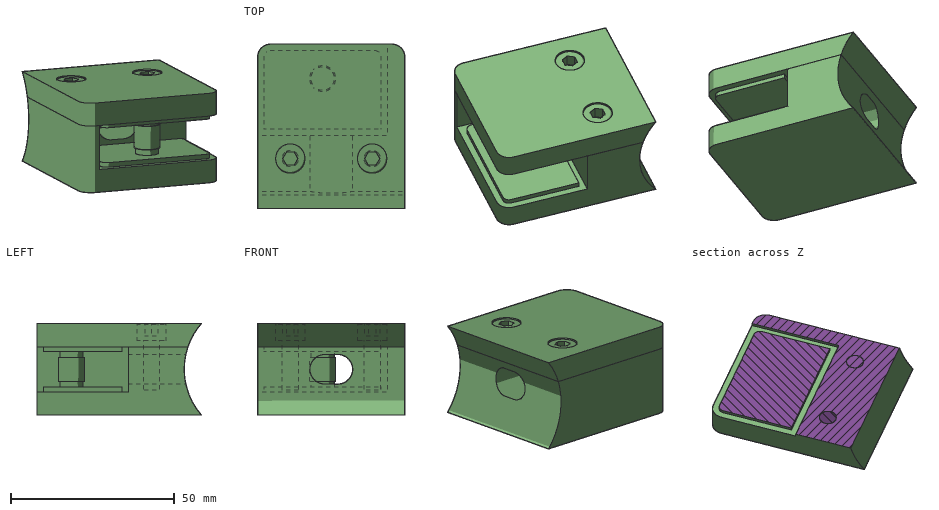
import cadquery as cq
import math

WIDTH = 45.0
LENGTH = 50.3
HEIGHT = 28.0
JAW_THICKNESS = 7.15
CORNER_RADIUS = 4.0
BLOCK_LENGTH = 22.25
SIDE_WALL = 5.3

SADDLE_RADIUS = 21.2

SLOT_LENGTH = 13.0
SLOT_HEIGHT = 9.0

PAD_THICKNESS = 1.4
PAD_MARGIN = 2.0
PAD_RADIUS = 2.0

PIN_DIAMETER = 7.9
PIN_END_DIAMETER = 7.15
PIN_BODY_HEIGHT = 7.35
PIN_Y = 14.6

SCREW_SPACING = 25.0
SCREW_Y = -9.85
HEAD_DIAMETER = 8.95
HEAD_HEIGHT = 5.0
HEAD_ROUNDING = 0.5
HEAD_RECESS = 0.25
SHANK_DIAMETER = 5.0
SHANK_LENGTH = 15.1
HEX_ACROSS_FLATS = 4.0
HEX_DEPTH = 3.5

Y_BACK = -LENGTH / 2
Y_FRONT = LENGTH / 2
Y_GAP_BACK = Y_BACK + BLOCK_LENGTH
X_LEFT = -WIDTH / 2
X_RIGHT = WIDTH / 2
X_WALL = X_RIGHT - SIDE_WALL
X_GAP_CENTER = (X_LEFT + X_WALL) / 2
Z_TOP = HEIGHT / 2
Z_GAP_TOP = Z_TOP - JAW_THICKNESS
Z_GAP_BOTTOM = -Z_GAP_TOP
Z_HEAD_TOP = Z_TOP - HEAD_RECESS
SCREW_POINTS = [(-SCREW_SPACING / 2, SCREW_Y), (SCREW_SPACING / 2, SCREW_Y)]


def box_between(x_min, x_max, y_min, y_max, z_min, z_max):
    """Box defined by its limits along each axis."""
    box = cq.Workplane("XY").box(x_max - x_min, y_max - y_min, z_max - z_min, centered=False)
    return box.translate((x_min, y_min, z_min))


def jaw_plate(z_min, z_max):
    """Full-width plate with its two +Y corners rounded."""
    plate = box_between(X_LEFT, X_RIGHT, Y_BACK, Y_FRONT, z_min, z_max)
    return plate.edges("|Z and >Y").fillet(CORNER_RADIUS)


def saddle_cutter():
    """Cylinder along X whose surface meets the top and bottom -Y edges."""
    axis_offset = math.sqrt(SADDLE_RADIUS**2 - Z_TOP**2)
    cylinder = cq.Workplane("YZ").circle(SADDLE_RADIUS).extrude(WIDTH / 2, both=True)
    return cylinder.translate((0, Y_BACK - axis_offset, 0))


def screw_blank():
    """Plain outline of a cap screw on the Z axis, used for the screw and for its hole."""
    z_head_bottom = Z_HEAD_TOP - HEAD_HEIGHT
    head = cq.Workplane("XY", origin=(0, 0, z_head_bottom)).circle(HEAD_DIAMETER / 2).extrude(HEAD_HEIGHT)
    shank = cq.Workplane("XY", origin=(0, 0, z_head_bottom)).circle(SHANK_DIAMETER / 2).extrude(-SHANK_LENGTH)
    return head.union(shank)


def screw_holes():
    """Shank holes and counterbores for both screws, open at the top face."""
    recess = cq.Workplane("XY", origin=(0, 0, Z_HEAD_TOP)).circle(HEAD_DIAMETER / 2).extrude(HEAD_RECESS)
    hole = screw_blank().union(recess)
    left, right = [hole.translate((x, y, 0)) for x, y in SCREW_POINTS]
    return left.union(right)


def make_base():
    """Lower jaw, block and +X side wall in one piece."""
    blank = jaw_plate(-Z_TOP, Z_GAP_TOP)
    glass_gap = box_between(X_LEFT, X_WALL, Y_GAP_BACK, Y_FRONT, Z_GAP_BOTTOM, Z_GAP_TOP)
    slot = cq.Workplane("XZ").slot2D(SLOT_LENGTH, SLOT_HEIGHT).extrude(-Y_BACK)
    return blank.cut(glass_gap).cut(saddle_cutter()).cut(slot).cut(screw_holes())


def make_cover():
    """Upper jaw, screwed down on the base."""
    return jaw_plate(Z_GAP_TOP, Z_TOP).cut(saddle_cutter()).cut(screw_holes())


def make_pad(z_min):
    """Flat pad lying on a jaw inside the glass gap, rounded at its +Y corners."""
    pad = box_between(
        X_LEFT + PAD_MARGIN,
        X_WALL - PAD_MARGIN,
        Y_GAP_BACK + PAD_MARGIN,
        Y_FRONT - PAD_MARGIN,
        z_min,
        z_min + PAD_THICKNESS,
    )
    return pad.edges("|Z and >Y").fillet(PAD_RADIUS)


def upright_cylinder(diameter, height):
    """Cylinder on the Z axis, centred on the middle of the glass gap."""
    return cq.Workplane("XY", origin=(0, 0, -height / 2)).circle(diameter / 2).extrude(height)


def make_pin():
    """Locking pin standing between the two pads, thinner at both ends."""
    pad_clearance = 2 * (Z_GAP_TOP - PAD_THICKNESS)
    core = upright_cylinder(PIN_END_DIAMETER, pad_clearance)
    body = upright_cylinder(PIN_DIAMETER, PIN_BODY_HEIGHT)
    return core.union(body).translate((X_GAP_CENTER, PIN_Y, 0))


def make_screw(x, y):
    """Cap screw with a rounded head edge and a hexagon socket."""
    screw = screw_blank().faces(">Z").edges().fillet(HEAD_ROUNDING)
    across_corners = HEX_ACROSS_FLATS / math.cos(math.pi / 6)
    socket = cq.Workplane("XY", origin=(0, 0, Z_HEAD_TOP)).polygon(6, across_corners).extrude(-HEX_DEPTH)
    return screw.cut(socket).translate((x, y, 0))


base = make_base()
cover = make_cover()
pads = [make_pad(z) for z in (Z_GAP_BOTTOM, Z_GAP_TOP - PAD_THICKNESS)]
pin = make_pin()
screws = [make_screw(x, y) for x, y in SCREW_POINTS]

result = cq.Compound.makeCompound(
    [base.val(), cover.val(), pin.val(), *[pad.val() for pad in pads], *[screw.val() for screw in screws]]
)